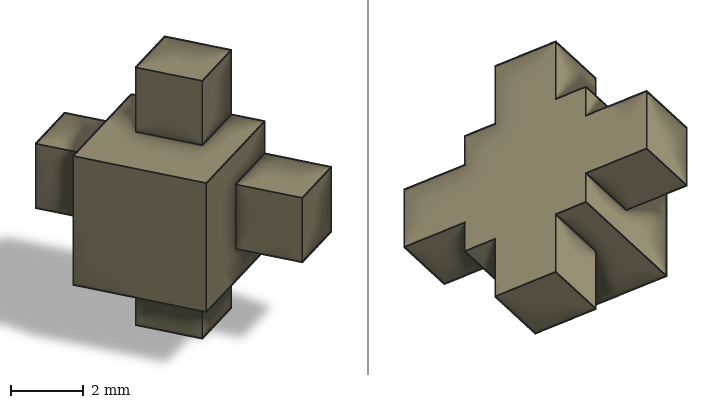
import cadquery as cq

BODY_SIZE = 4.0
ARM_SIZE = 2.0

BACK_Y = BODY_SIZE / 2
ARM_SPAN = BODY_SIZE + 2 * ARM_SIZE


def back_aligned_box(width, depth, height):
    """Box centred on X and Z whose rear face lies on the shared back plane."""
    return cq.Workplane("XY").box(width, depth, height).translate((0, BACK_Y - depth / 2, 0))


body = back_aligned_box(BODY_SIZE, BODY_SIZE, BODY_SIZE)

side_arms = back_aligned_box(ARM_SPAN, ARM_SIZE, ARM_SIZE)
upper_and_lower_arms = back_aligned_box(ARM_SIZE, ARM_SIZE, ARM_SPAN)

result = body.union(side_arms).union(upper_and_lower_arms)